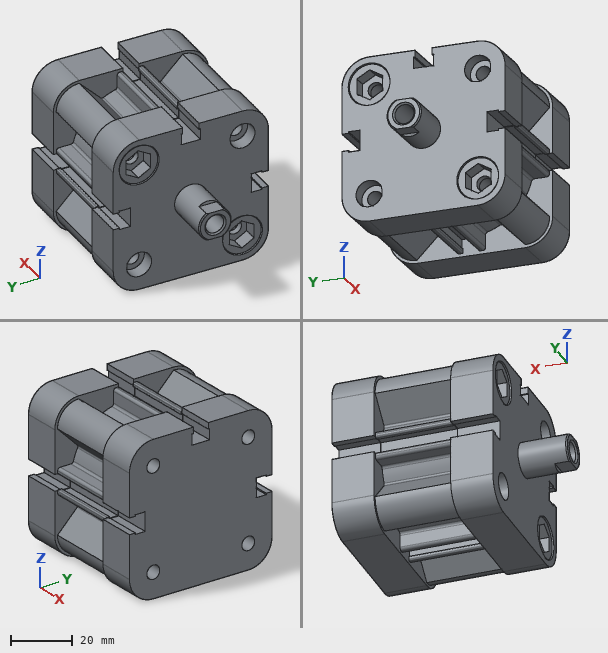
import cadquery as cq
import math

TOTAL_LENGTH = 73.0
ROD_EXTENSION = 17.0
CAP_LENGTH = 14.7
BODY_LENGTH = TOTAL_LENGTH - ROD_EXTENSION
BARREL_LENGTH = BODY_LENGTH - 2 * CAP_LENGTH
BARREL_START = ROD_EXTENSION + CAP_LENGTH
REAR_CAP_START = BARREL_START + BARREL_LENGTH

CAP_SIDE = 57.0
HALF_SIDE = CAP_SIDE / 2
CORNER_OFFSET = 19.0
CAP_CORNER_RADIUS = HALF_SIDE - CORNER_OFFSET

CORE_RADIUS = 21.9
BOSS_RADIUS = 8.5
WEB_WIDTH = BOSS_RADIUS * math.sqrt(2)
WEB_SHOULDER = CORNER_OFFSET * math.sqrt(2) + WEB_WIDTH / 2
WEB_TIP = CORNER_OFFSET * math.sqrt(2) + BOSS_RADIUS
WEB_FILLET = 0.9
RIB_WIDTH = 10.1
RIB_TOP = 27.4
RIB_EDGE_RADIUS = 1.0
RIB_ROOT_FILLET = 1.0
LIP_RADIUS = 0.5
RIB_ANGLES = (-90, 0, 90, 180)
WEB_ANGLES = (45, 135, 225, 315)
EDGE_TOLERANCE = 0.01

CAP_SLOT = (6.0, 7.0, HALF_SIDE - 2.3, HALF_SIDE - 6.3)
BARREL_SLOT = (5.55, 6.5, HALF_SIDE - 2.6, HALF_SIDE - 6.0)
CAP_SLOT_ANGLES = (-90, 0, 90)

BORE_DIAMETER = 5.1
COUNTERBORE_DIAMETER = 9.1
COUNTERBORE_DEPTH = 5.05
SCREW_DIAMETER = 14.15
SCREW_RECESS = 0.5
SCREW_LENGTH = 7.3
SCREW_GAP = 0.2
HEX_FLATS = 9.0
HEX_DEPTH = 5.05

ROD_DIAMETER = 12.0
ROD_LENGTH = ROD_EXTENSION + CAP_LENGTH
ROD_CHAMFER = 0.45
FLATS_ACROSS = 10.1
FLATS_LENGTH = 5.2
FLAT_END_SLOPE = 20.0
ROD_HOLE_DIAMETER = 6.65
ROD_HOLE_DEPTH = 12.0
ROD_HOLE_CHAMFER = 0.6
DRILL_POINT_ANGLE = 118.0

SCREW_PLACES = [(CORNER_OFFSET, CORNER_OFFSET), (-CORNER_OFFSET, -CORNER_OFFSET)]
COUNTERBORE_PLACES = [(CORNER_OFFSET, -CORNER_OFFSET), (-CORNER_OFFSET, CORNER_OFFSET)]


def section(x):
    """Workplane across X at x, with local axes along Y and Z."""
    return cq.Workplane("YZ", origin=(x, 0, 0))


def turned(body, angle):
    """Body turned about the X axis."""
    return body.rotate((0, 0, 0), (1, 0, 0), angle)


def t_slot(sizes, x, length):
    """Cutter for a T-slot open at +Z."""
    neck_width, head_width, lip_height, floor_height = sizes
    neck_height = HALF_SIDE - floor_height
    neck = section(x).center(0, floor_height + neck_height / 2).rect(neck_width, neck_height).extrude(length)
    head_height = lip_height - floor_height
    head = section(x).center(0, floor_height + head_height / 2).rect(head_width, head_height).extrude(length)
    return neck.union(head)


def cap(x):
    """End cap that starts at x, slotted on every side but the bottom."""
    body = section(x).rect(CAP_SIDE, CAP_SIDE).extrude(CAP_LENGTH).edges("|X").fillet(CAP_CORNER_RADIUS)
    for angle in CAP_SLOT_ANGLES:
        body = body.cut(turned(t_slot(CAP_SLOT, x, CAP_LENGTH), angle))
    return body


def corner_web():
    """Web along +Z that ends in a rounded boss."""
    half_width = WEB_WIDTH / 2
    return (
        section(BARREL_START)
        .moveTo(-half_width, 0)
        .lineTo(-half_width, WEB_SHOULDER)
        .threePointArc((0, WEB_TIP), (half_width, WEB_SHOULDER))
        .lineTo(half_width, 0)
        .close()
        .extrude(BARREL_LENGTH)
    )


def web_root():
    """Place (y, z) where a web wall leaves the round core."""
    across = WEB_WIDTH / 2
    along = math.sqrt(CORE_RADIUS**2 - across**2)
    return (along - across) / math.sqrt(2), (along + across) / math.sqrt(2)


def rib_root():
    """Place (y, z) where a rib wall leaves the round core."""
    across = RIB_WIDTH / 2
    return across, math.sqrt(CORE_RADIUS**2 - across**2)


def edges_at(body, place):
    """Lengthwise edges of the barrel at a place (y, z) and at its mirror images in every eighth."""
    wanted = sorted(place)

    def is_there(edge):
        centre = edge.Center()
        found = sorted((abs(centre.y), abs(centre.z)))
        return math.dist(found, wanted) < EDGE_TOLERANCE

    return body.edges("|X").filter(is_there)


def barrel():
    """Round core with four corner webs and four slotted ribs."""
    body = section(BARREL_START).circle(CORE_RADIUS).extrude(BARREL_LENGTH)
    for angle in WEB_ANGLES:
        body = body.union(turned(corner_web(), angle))
    body = edges_at(body, web_root()).fillet(WEB_FILLET)

    rib = section(BARREL_START).center(0, RIB_TOP / 2).rect(RIB_WIDTH, RIB_TOP).extrude(BARREL_LENGTH)
    rib = rib.edges("|X and >Z").fillet(RIB_EDGE_RADIUS)
    for angle in RIB_ANGLES:
        body = body.union(turned(rib, angle))
    body = edges_at(body, rib_root()).fillet(RIB_ROOT_FILLET)
    slot = t_slot(BARREL_SLOT, BARREL_START, BARREL_LENGTH)
    for angle in RIB_ANGLES:
        body = body.cut(turned(slot, angle))
    neck_width = BARREL_SLOT[0]
    return edges_at(body, (neck_width / 2, RIB_TOP)).fillet(LIP_RADIUS)


def make_housing():
    body = cap(ROD_EXTENSION).union(barrel()).union(cap(REAR_CAP_START))
    face = section(ROD_EXTENSION)
    bores = face.pushPoints(SCREW_PLACES + COUNTERBORE_PLACES).circle(BORE_DIAMETER / 2).extrude(BODY_LENGTH)
    counterbores = (
        face.pushPoints(COUNTERBORE_PLACES).circle(COUNTERBORE_DIAMETER / 2).extrude(COUNTERBORE_DEPTH)
    )
    screw_seats = (
        face.pushPoints(SCREW_PLACES)
        .circle(SCREW_DIAMETER / 2 + SCREW_GAP)
        .extrude(SCREW_RECESS + SCREW_LENGTH)
    )
    rod_hole = face.circle(ROD_DIAMETER / 2).extrude(CAP_LENGTH)
    return body.cut(bores).cut(counterbores).cut(screw_seats).cut(rod_hole)


def make_screw(place):
    face = section(ROD_EXTENSION + SCREW_RECESS).center(*place)
    body = face.circle(SCREW_DIAMETER / 2).circle(BORE_DIAMETER / 2).extrude(SCREW_LENGTH)
    socket = face.polygon(6, HEX_FLATS, circumscribed=True).extrude(HEX_DEPTH)
    return body.cut(socket)


def flat_cutter():
    """Cutter for the flat on the +Z side of the rod tip, with a sloping end wall."""
    low = FLATS_ACROSS / 2
    high = ROD_DIAMETER / 2
    run = (high - low) * math.tan(math.radians(FLAT_END_SLOPE))
    return (
        cq.Workplane("XZ")
        .polyline([(0, low), (FLATS_LENGTH, low), (FLATS_LENGTH + run, high), (0, high)])
        .close()
        .extrude(high, both=True)
    )


def make_rod():
    body = section(0).circle(ROD_DIAMETER / 2).extrude(ROD_LENGTH).faces("<X").chamfer(ROD_CHAMFER)
    for angle in (0, 180):
        body = body.cut(turned(flat_cutter(), angle))

    radius = ROD_HOLE_DIAMETER / 2
    point_depth = radius / math.tan(math.radians(DRILL_POINT_ANGLE / 2))
    hole = (
        cq.Workplane("XZ")
        .polyline([
            (0, 0),
            (0, radius + ROD_HOLE_CHAMFER),
            (ROD_HOLE_CHAMFER, radius),
            (ROD_HOLE_DEPTH, radius),
            (ROD_HOLE_DEPTH + point_depth, 0),
        ])
        .close()
        .revolve(360, (0, 0, 0), (1, 0, 0))
    )
    return body.cut(hole)


housing = make_housing()
rod = make_rod()
screws = [make_screw(place) for place in SCREW_PLACES]

result = cq.Compound.makeCompound([housing.val(), rod.val(), *[screw.val() for screw in screws]])